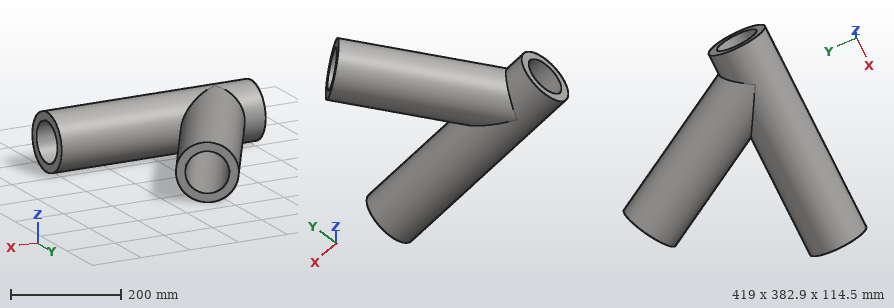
import cadquery as cq
import math

run_length = 419.0
outer_diameter = 114.5
bore_diameter = 80.0
branch_angle = 60.0
branch_position = 76.0
branch_length = 343.0

run_direction = (1, 0, 0)
branch_direction = (
    math.cos(math.radians(branch_angle)),
    math.sin(math.radians(branch_angle)),
    0,
)


def cylinder_along(start, direction, diameter, length):
    """Solid round bar from a start point along a direction."""
    plane = cq.Plane(origin=start, xDir=(0, 0, 1), normal=direction)
    return cq.Workplane(plane).circle(diameter / 2).extrude(length)


def run_and_branch(diameter):
    """Joined cylinders of one diameter on the run and branch axes."""
    run = cylinder_along((0, 0, 0), run_direction, diameter, run_length)
    branch = cylinder_along((branch_position, 0, 0), branch_direction, diameter, branch_length)
    return run.union(branch)


result = run_and_branch(outer_diameter).cut(run_and_branch(bore_diameter))